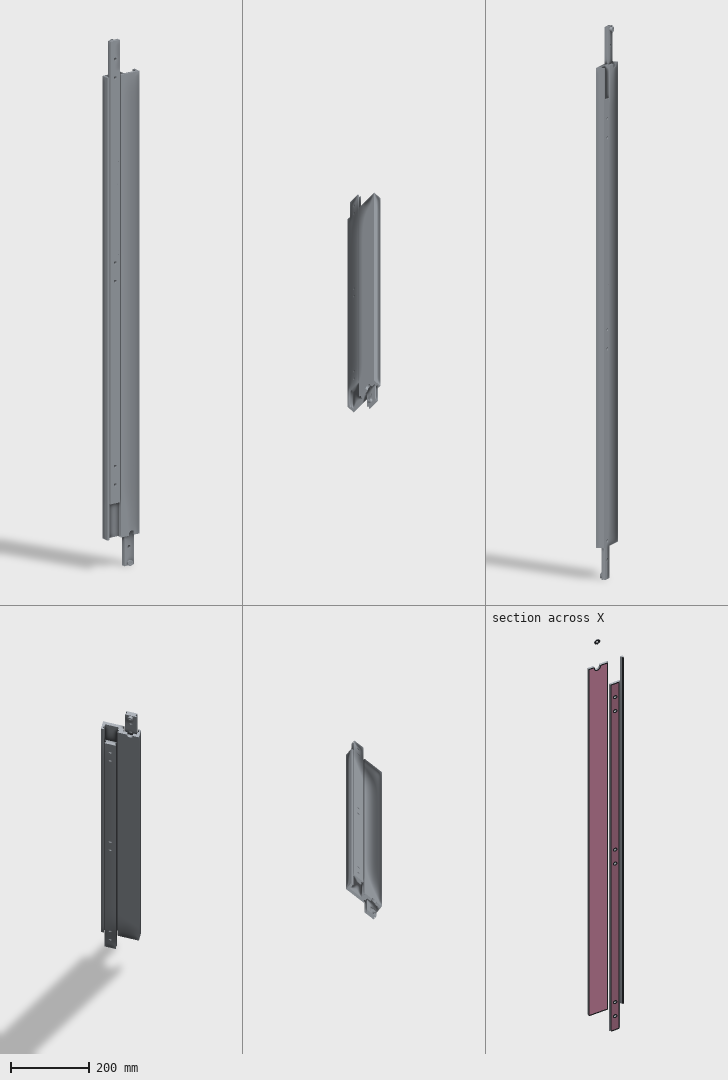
import cadquery as cq

total_length = 1430.0
depth = 21.0
width = 100.0
section_length = 1250.0
upper_extension = 96.0

web_thickness = 7.0
track_inner_y = 7.0
track_outer_y = 43.0

rail_width = 30.0
rail_thickness = 10.0
rail_center_y = 26.0
groove_width = 5.0
groove_depth = 3.0

hole_diameter = 9.0
hole_pitch = 50.0

button_stem_diameter = 11.0
button_stem_length = 6.0
button_head_diameter = 16.0
button_socket_diameter = 7.0
button_head_thickness = 1.0
button_end_offset = button_head_diameter / 2

notch_width = 16.0
notch_depth = 13.0

rail_inner_y = rail_center_y - rail_width / 2
rail_outer_y = rail_center_y + rail_width / 2
groove_center_x = (rail_thickness - depth) / 2
groove_x_range = (groove_center_x - groove_width / 2, groove_center_x + groove_width / 2)
upper_rail_bottom = total_length / 2 - section_length
lower_rail_bottom = -total_length / 2
housing_top = total_length / 2 - upper_extension
housing_bottom = housing_top - section_length


def half_turn(body):
    """Turn a body half way round about the Z axis."""
    return body.rotate((0, 0, 0), (0, 0, 1), 180)


def box_between(x_range, y_range, z_range):
    """Box spanning the given (low, high) ranges."""
    x_low, x_high = x_range
    y_low, y_high = y_range
    z_low, z_high = z_range
    box = cq.Workplane("XY").box(x_high - x_low, y_high - y_low, z_high - z_low, centered=False)
    return box.translate((x_low, y_low, z_low))


def x_cylinder(diameter, x_start, length, y, z):
    """Cylinder along +X."""
    return cq.Workplane("YZ", origin=(x_start, y, z)).circle(diameter / 2).extrude(length)


def web_notch(end_z, inward):
    """Round-bottomed notch through the +X web, entering from end_z in the inward direction."""
    x_low = depth / 2 - web_thickness
    radius = notch_width / 2
    round_z = end_z + inward * (notch_depth - radius)
    sides = (rail_center_y - radius, rail_center_y + radius)
    mouth = box_between((x_low, depth / 2), sides, sorted((end_z, round_z)))
    return mouth.union(x_cylinder(notch_width, x_low, web_thickness, rail_center_y, round_z))


def make_housing():
    """S-shaped section: the +Y track opens to -X and the -Y track opens to +X."""
    body = box_between(
        (-depth / 2, depth / 2), (-width / 2, width / 2), (housing_bottom, housing_top)
    )
    track = box_between(
        (-depth / 2, depth / 2 - web_thickness),
        (track_inner_y, track_outer_y),
        (housing_bottom, housing_top),
    )
    for groove_y_range in (
        (track_inner_y - groove_depth, track_inner_y),
        (track_outer_y, track_outer_y + groove_depth),
    ):
        groove = box_between(groove_x_range, groove_y_range, (housing_bottom, housing_top))
        track = track.union(groove)
    body = body.cut(track).cut(half_turn(track))
    body = body.cut(web_notch(housing_bottom, 1))
    return body.cut(half_turn(web_notch(housing_top, -1)))


def make_rail(bottom_z, button_z):
    """Flat rail flush with the -X side in the +Y track, with a stop button facing +X."""
    rail_x = -depth / 2
    inner_face_x = rail_x + rail_thickness
    top_z = bottom_z + section_length
    middle_z = bottom_z + section_length / 2
    rail = box_between(
        (rail_x, inner_face_x),
        (rail_inner_y, rail_outer_y),
        (bottom_z, top_z),
    )
    for groove_y_range in (
        (rail_inner_y, rail_inner_y + groove_depth),
        (rail_outer_y - groove_depth, rail_outer_y),
    ):
        rail = rail.cut(box_between(groove_x_range, groove_y_range, (bottom_z, top_z)))
    pair_centers = (bottom_z + 1.5 * hole_pitch, middle_z, top_z - 1.5 * hole_pitch)
    for center_z in pair_centers:
        for side in (-1, 1):
            hole_z = center_z + side * hole_pitch / 2
            rail = rail.cut(x_cylinder(hole_diameter, rail_x, rail_thickness, rail_center_y, hole_z))

    stem = x_cylinder(
        button_stem_diameter, inner_face_x, button_stem_length, rail_center_y, button_z
    )
    head_x = inner_face_x + button_stem_length
    head = x_cylinder(
        button_head_diameter, head_x, button_head_thickness, rail_center_y, button_z
    )
    socket = x_cylinder(
        button_socket_diameter, head_x, button_head_thickness, rail_center_y, button_z
    )
    return rail.union(stem).union(head.cut(socket))


housing = make_housing()
lower_rail = make_rail(lower_rail_bottom, lower_rail_bottom + button_end_offset)
upper_rail = half_turn(make_rail(upper_rail_bottom, total_length / 2 - button_end_offset))

result = cq.Compound.makeCompound([housing.val(), lower_rail.val(), upper_rail.val()])